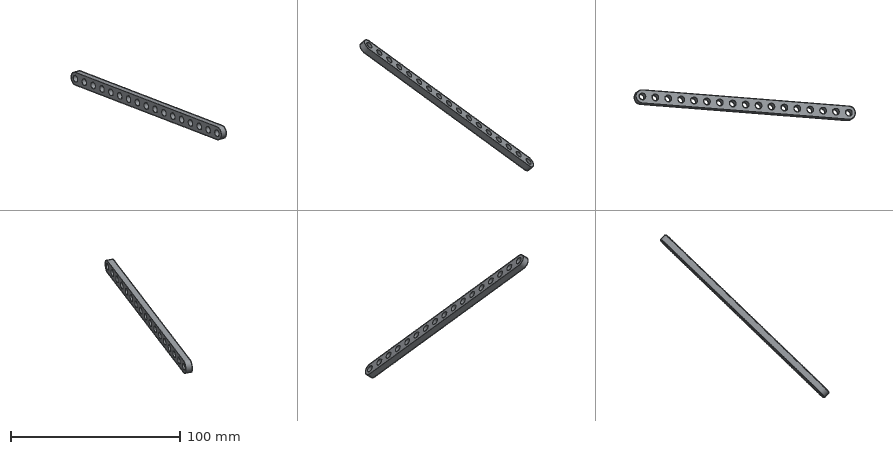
import cadquery as cq

hole_count = 17
pitch = 8.0
bar_height = 8.0
bar_thickness = 4.0
hole_diameter = 4.0

hole_span = (hole_count - 1) * pitch
bar_length = hole_span + bar_height


def make_bar():
    """Flat bar in the XZ plane with full-round ends, centred on the origin."""
    return (
        cq.Workplane("XZ")
        .slot2D(bar_length, bar_height)
        .extrude(bar_thickness / 2, both=True)
    )


def make_holes():
    """Row of evenly spaced cylinders that pass through the bar along Y."""
    return (
        cq.Workplane("XZ")
        .rarray(pitch, pitch, hole_count, 1)
        .circle(hole_diameter / 2)
        .extrude(bar_thickness, both=True)
    )


result = make_bar().cut(make_holes())